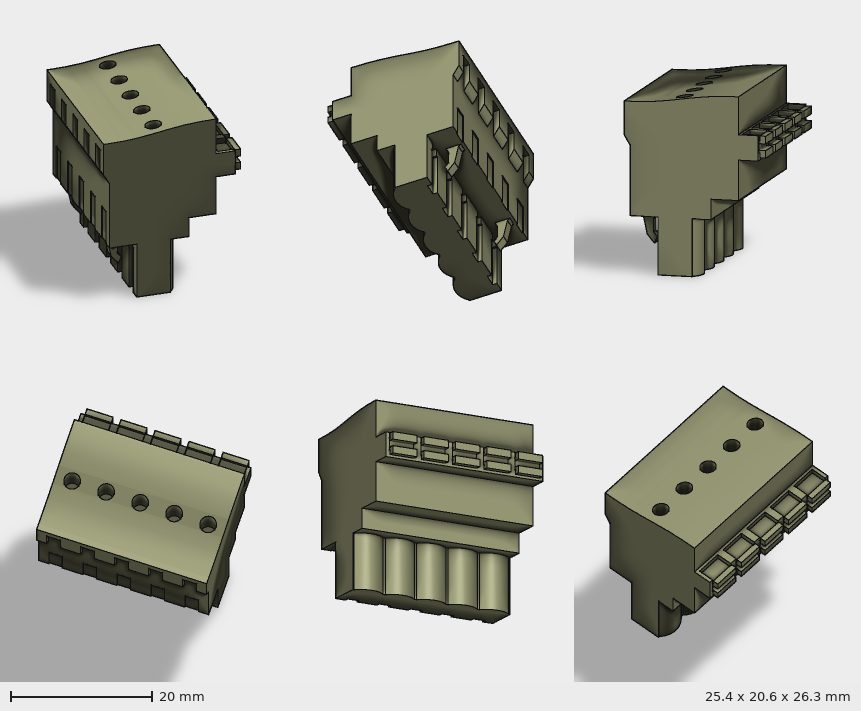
import cadquery as cq
import math


pole_count = 5
width = 25.4
pitch = width / pole_count
pole_xs = [(i - (pole_count - 1) / 2) * pitch for i in range(pole_count)]

height = 26.25
front_top_z = 24.82
body_front_y = 0.9
overhang_bottom_z = 20.0
overhang_chamfer_z = 18.47
body_bottom_z = 8.35
body_back_y = 16.8
back_step_y = 12.75
back_step_z = 11.3
plug_front_y = 4.95
plug_back_y = 10.0

front_lip_y = 0.87
slope_start_y = 7.08
slope_end_y = 9.8
back_lip_y = 16.48

ledge_back_y = 19.68
ledge_bottom_z = 17.13
ledge_top_z = 20.78

upper_slot_width = 2.1
upper_slot_top_z = 23.27
lower_slot_width = 2.0
lower_slot_top_z = 13.38
lower_slot_depth = 0.15
plug_groove_width = 1.85
plug_groove_neck_width = 1.3
plug_groove_step_z = 7.0
plug_groove_depth = 0.65

rib_height = 1.02
rib_width = 4.72

hole_diameter = 2.34
hole_y = 8.25
hole_bottom_z = 21

hook_x = 8.32
hook_width = 1.36
hook_root_front_y = 1.4
hook_root_back_y = 3.67
hook_root_chamfer_y = 1.75
hook_root_chamfer_z = 8.03
hook_front_bend_y = 2.35
hook_front_bend_z = 5.15
hook_tip_y = 3.45
hook_tip_z = 3.85
hook_barb_y = 3.88
hook_barb_z = 4.83
hook_arm_back_y = 3.3
hook_arm_bottom_z = 5.45
hook_arm_top_z = 7.3

button_width = 3.9
button_front_y = 17.25
button_back_y = 20.65
button_tongue_bottom_z = 18.18
button_tongue_top_z = 19.97
button_head_bottom_z = 17.5
button_head_top_z = 20.65
button_slot_bottom_z = 18.58
button_slot_top_z = 19.55
button_slot_fillet = 0.1
button_head_gap = 0.1
button_head_y = ledge_back_y + button_head_gap


def box(x_center, x_size, y_min, y_max, z_min, z_max):
    """Axis-aligned block centred on x_center in X."""
    size = (x_size, y_max - y_min, z_max - z_min)
    center = (x_center, (y_min + y_max) / 2, (z_min + z_max) / 2)
    return cq.Workplane("XY").box(*size).translate(center)


def extrude_profile(profile, x_center, x_size):
    """Extrude a closed profile drawn in (Y, Z) symmetrically about x_center."""
    return profile.extrude(x_size / 2, both=True).translate((x_center, 0, 0))


def make_body():
    """Main block with its wavy top, both top arcs tangent to the flat lips and the slope."""
    arcs_length = (slope_start_y - front_lip_y) + (back_lip_y - slope_end_y)
    slope_length = slope_end_y - slope_start_y
    drop = height - front_top_z
    half_tangent = drop / (arcs_length + 2 * slope_length)
    slope_angle = 2 * math.atan(half_tangent)
    slope_start_z = front_top_z + (slope_start_y - front_lip_y) * half_tangent
    slope_end_z = slope_start_z + slope_length * math.tan(slope_angle)
    profile = (
        cq.Workplane("YZ")
        .moveTo(body_front_y, body_bottom_z)
        .lineTo(body_front_y, overhang_chamfer_z)
        .lineTo(0, overhang_bottom_z)
        .lineTo(0, front_top_z)
        .lineTo(front_lip_y, front_top_z)
        .tangentArcPoint((slope_start_y, slope_start_z), relative=False)
        .lineTo(slope_end_y, slope_end_z)
        .tangentArcPoint((back_lip_y, height), relative=False)
        .lineTo(body_back_y, height)
        .lineTo(body_back_y, back_step_z)
        .lineTo(back_step_y, back_step_z)
        .lineTo(back_step_y, body_bottom_z)
        .close()
    )
    return extrude_profile(profile, 0, width)


def make_plug():
    """Lower plug with one rounded rib per pole on its back."""
    plug = box(0, width, plug_front_y, plug_back_y, 0, body_bottom_z)
    for x in pole_xs:
        rib = (
            cq.Workplane("XY")
            .moveTo(x - rib_width / 2, plug_back_y)
            .threePointArc((x, plug_back_y + rib_height), (x + rib_width / 2, plug_back_y))
            .close()
            .extrude(body_bottom_z)
        )
        plug = plug.union(rib)
    return plug


def make_hook(x):
    """Latch hook hanging from the underside of the body."""
    profile = (
        cq.Workplane("YZ")
        .moveTo(hook_root_front_y, body_bottom_z)
        .lineTo(hook_root_chamfer_y, hook_root_chamfer_z)
        .lineTo(hook_front_bend_y, hook_front_bend_z)
        .lineTo(hook_tip_y, hook_tip_z)
        .lineTo(hook_barb_y, hook_barb_z)
        .lineTo(hook_arm_back_y, hook_arm_bottom_z)
        .lineTo(hook_arm_back_y, hook_arm_top_z)
        .lineTo(hook_root_back_y, body_bottom_z)
        .close()
    )
    return extrude_profile(profile, x, hook_width)


def pole_cuts(x):
    """Slots, groove, test hole and button pocket of one pole."""
    upper_slot = box(x, upper_slot_width, 0, body_front_y, overhang_chamfer_z, upper_slot_top_z)
    lower_slot_back_y = body_front_y + lower_slot_depth
    lower_slot = box(x, lower_slot_width, body_front_y, lower_slot_back_y, body_bottom_z, lower_slot_top_z)
    groove_back_y = plug_front_y + plug_groove_depth
    groove = box(x, plug_groove_width, plug_front_y, groove_back_y, 0, plug_groove_step_z)
    neck = box(x, plug_groove_neck_width, plug_front_y, groove_back_y, plug_groove_step_z, body_bottom_z)
    hole = (
        cq.Workplane("XY", origin=(x, hole_y, hole_bottom_z))
        .circle(hole_diameter / 2)
        .extrude(height - hole_bottom_z)
    )
    pocket = box(x, button_width, button_front_y, ledge_back_y, button_tongue_bottom_z, ledge_top_z)
    return [upper_slot, lower_slot, groove, neck, hole, pocket]


def make_housing():
    ledge = box(0, width, body_back_y, ledge_back_y, ledge_bottom_z, ledge_top_z)
    housing = make_body().union(make_plug()).union(ledge)
    for x in (-hook_x, hook_x):
        housing = housing.union(make_hook(x))
    for x in pole_xs:
        for cut in pole_cuts(x):
            housing = housing.cut(cut)
    return housing


def make_button(x):
    """Push button: tongue in the ledge pocket and a slotted head standing out behind it."""
    tongue = box(x, button_width, button_front_y, button_head_y, button_tongue_bottom_z, button_tongue_top_z)
    head = box(x, button_width, button_head_y, button_back_y, button_head_bottom_z, button_head_top_z)
    slot = box(x, button_width, ledge_back_y, button_back_y, button_slot_bottom_z, button_slot_top_z)
    slot = slot.edges("<Y and |X").fillet(button_slot_fillet)
    return tongue.union(head).cut(slot)


housing = make_housing()
buttons = [make_button(x) for x in pole_xs]

result = cq.Compound.makeCompound([housing.val(), *[button.val() for button in buttons]])